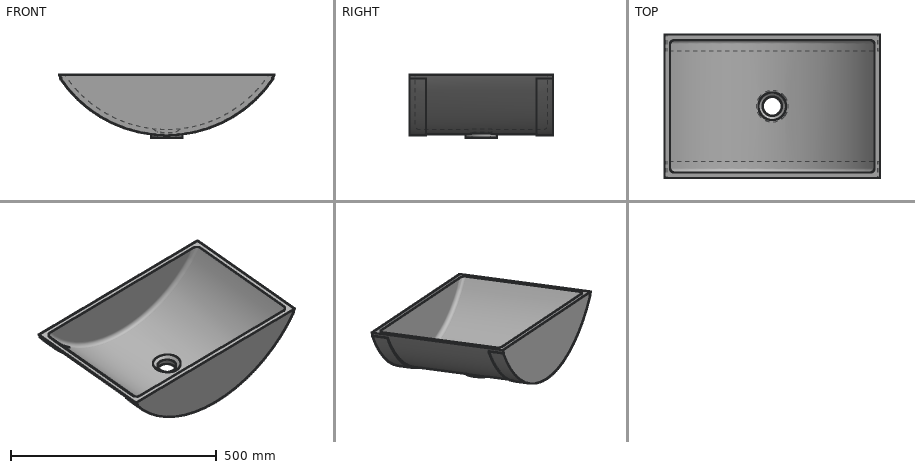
import cadquery as cq
import math

length = 524.0
width = 349.0
trough_depth = 145.0
outer_radius = ((length / 2) ** 2 + trough_depth**2) / (2 * trough_depth)
axis_height = outer_radius - trough_depth

band_width = 40.0
band_thickness = 2.5
band_top = -9.5

floor_thickness = 11.5
wall_thickness = 13.0
basin_fillet = 11.0

drain_diameter = 46.0
drain_seat_width = 10.5
drain_seat_depth = 7.0
boss_diameter = 77.0
total_height = 154.0


def trough_segment(radius, y_width, top=0.0):
    """Solid below z = top inside a cylinder along Y about the trough axis."""
    half_chord = math.sqrt(radius**2 - (axis_height - top) ** 2)
    return (
        cq.Workplane("XZ")
        .moveTo(-half_chord, top)
        .threePointArc((0, axis_height - radius), (half_chord, top))
        .close()
        .extrude(y_width / 2, both=True)
    )


def end_bands():
    bands = trough_segment(outer_radius + band_thickness, width, band_top)
    gap = cq.Workplane("XY").box(2 * length, width - 2 * band_width, 2 * length)
    return bands.cut(gap)


def basin():
    cavity = trough_segment(outer_radius - floor_thickness, width - 2 * wall_thickness)
    return cavity.edges("%CIRCLE").fillet(basin_fillet)


def drain_boss():
    base = cq.Workplane("XY").workplane(offset=-total_height)
    return base.circle(boss_diameter / 2).extrude(total_height / 2)


def drain_hole():
    base = cq.Workplane("XY").workplane(offset=-total_height)
    return base.circle(drain_diameter / 2).extrude(total_height)


shell = trough_segment(outer_radius, width).union(end_bands())
bowl = shell.union(drain_boss()).cut(basin()).cut(drain_hole())

seat_edge_finder = cq.selectors.BoxSelector(
    (-drain_diameter, -drain_diameter, -trough_depth),
    (drain_diameter, drain_diameter, 0),
    boundingbox=True,
)
seat_edge = bowl.edges(seat_edge_finder).edges("not %LINE")
result = seat_edge.chamfer(drain_seat_width, drain_seat_depth)